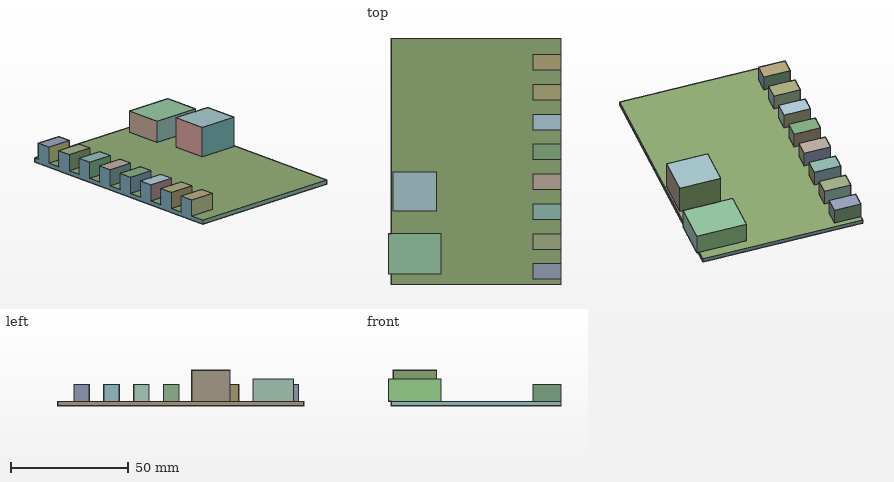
import cadquery as cq

BOARD_LENGTH = 105.0
BOARD_WIDTH = 72.5
BOARD_THICKNESS = 1.9


CONNECTOR_OVERHANG = 1.18
CONNECTOR_SIZE = (22.5, 17.35, 9.6)
CONNECTOR_FRONT = 4.4

TALL_CONNECTOR_SIZE = (18.6, 16.45, 13.36)
TALL_CONNECTOR_INSET = 0.8
TALL_CONNECTOR_FRONT = 31.45

TERMINAL_COUNT = 8
TERMINAL_PITCH = 12.745
TERMINAL_SIZE = (12.05, 6.65, 7.3)
FIRST_TERMINAL_FRONT = 2.25


def block(size, left, front, bottom):
    """Box of the given size, placed by its left, front and bottom faces."""
    return cq.Workplane("XY").box(*size, centered=False).translate((left, front, bottom))


def component(size, left, front):
    """Box standing on the board and fused with it along its underside."""
    return block(size, left, front, BOARD_THICKNESS)


def terminal_row():
    left = BOARD_WIDTH - TERMINAL_SIZE[0]
    return [
        component(TERMINAL_SIZE, left, FIRST_TERMINAL_FRONT + index * TERMINAL_PITCH)
        for index in range(TERMINAL_COUNT)
    ]


board = block((BOARD_WIDTH, BOARD_LENGTH, BOARD_THICKNESS), 0, 0, 0)
connector = component(CONNECTOR_SIZE, -CONNECTOR_OVERHANG, CONNECTOR_FRONT)
tall_connector = component(TALL_CONNECTOR_SIZE, TALL_CONNECTOR_INSET, TALL_CONNECTOR_FRONT)

result = board.union(connector).union(tall_connector)
for terminal in terminal_row():
    result = result.union(terminal)